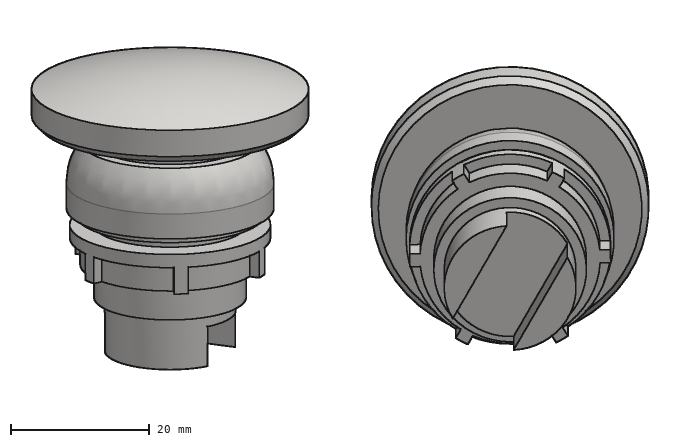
import cadquery as cq

leg_top_z = 6.0
stub_top_z = 8.0
barrel_top_z = 13.0
flange_bottom_z = 17.0
flange_top_z = 19.0
gasket_bottom_z = 20.5
collar_bottom_z = 21.5
collar_band_top_z = 25.3
collar_top_z = 31.5
button_bottom_z = 34.5
button_rim_z = 39.5
button_top_z = 42.5

stub_radius = 9.5
barrel_radius = 11.0
ring_radius = 13.0
flange_radius = 14.5
gasket_radius = 13.6
collar_radius = 15.0
collar_top_radius = 12.8
button_radius = 20.0
button_chamfer = 1.0

leg_gap = 10.0
tab_count = 6
tab_width = 2.0


def disc(radius, bottom_z, top_z):
    """Cylinder on the part axis between two heights."""
    return cq.Workplane("XY").workplane(offset=bottom_z).circle(radius).extrude(top_z - bottom_z)


def make_button():
    """Mushroom head: chamfered rim under a shallow spherical dome."""
    rise = button_top_z - button_rim_z
    dome_radius = (button_radius**2 + rise**2) / (2 * rise)
    mid_radius = button_radius / 2
    mid_z = button_top_z - dome_radius + (dome_radius**2 - mid_radius**2) ** 0.5
    profile = (
        cq.Workplane("YZ")
        .moveTo(0, button_bottom_z)
        .lineTo(button_radius - button_chamfer, button_bottom_z)
        .lineTo(button_radius, button_bottom_z + button_chamfer)
        .lineTo(button_radius, button_rim_z)
        .threePointArc((mid_radius, mid_z), (0, button_top_z))
        .close()
    )
    return profile.revolve(360, (0, 0, 0), (0, 1, 0))


def make_collar():
    """Bezel: straight band that curves inward, tangent to the band, up to its top."""
    profile = (
        cq.Workplane("YZ")
        .moveTo(0, collar_bottom_z)
        .lineTo(collar_radius, collar_bottom_z)
        .lineTo(collar_radius, collar_band_top_z)
        .tangentArcPoint((collar_top_radius, collar_top_z), relative=False)
        .lineTo(0, collar_top_z)
        .close()
    )
    return profile.revolve(360, (0, 0, 0), (0, 1, 0))


def make_tab(angle):
    """Parallel-sided radial tab from inside the ring out to the flange radius."""
    length = flange_radius - stub_radius
    height = flange_top_z - barrel_top_z
    return (
        cq.Workplane("XY")
        .box(length, tab_width, height, centered=(False, True, False))
        .translate((stub_radius, 0, barrel_top_z))
        .rotate((0, 0, 0), (0, 0, 1), angle)
    )


def make_legs():
    """Stub cylinder split into two legs by a slot running along X."""
    slot = cq.Workplane("XY").box(
        2 * barrel_radius, leg_gap, leg_top_z, centered=(True, True, False)
    )
    return disc(stub_radius, 0, stub_top_z).cut(slot)


def make_tabbed_flange():
    """Flange over a narrower ring with evenly spaced tabs."""
    body = disc(ring_radius, barrel_top_z, flange_bottom_z)
    body = body.union(disc(flange_radius, flange_bottom_z, flange_top_z))
    for index in range(tab_count):
        body = body.union(make_tab(index * 360.0 / tab_count))
    return body.intersect(disc(flange_radius, barrel_top_z, flange_top_z))


result = (
    disc(barrel_radius, stub_top_z, button_bottom_z)
    .union(make_legs())
    .union(make_tabbed_flange())
    .union(disc(gasket_radius, gasket_bottom_z, collar_bottom_z))
    .union(make_collar())
    .union(make_button())
)